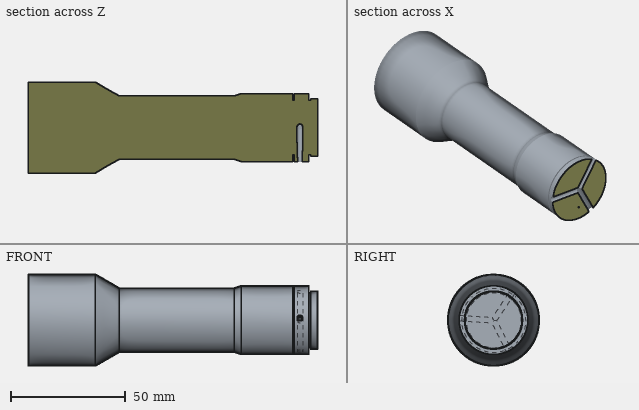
import cadquery as cq
import math

TOTAL_LENGTH = 126.6
HEAD_LENGTH = 29.4
COLLAR_START = 90.1
COLLAR_TAPER_LENGTH = 3.0
GROOVE_START = 115.6
GROOVE_WIDTH = 0.6
THREAD_LENGTH = 4.0
UNDERCUT_WIDTH = 0.8

HEAD_DIAMETER = 40.0
NECK_DIAMETER = 28.0
COLLAR_DIAMETER = 30.0
THREAD_DIAMETER = 25.4
CORE_DIAMETER = 24.0

CONE_ANGLE = 30.0
EDGE_CHAMFER = 0.25

SCREW_COUNT = 3
SCREW_DIAMETER = 2.4
SCREW_SHOULDER_DISTANCE = 3.9
SCREW_FIRST_ANGLE = 56.5

HEAD_RADIUS = HEAD_DIAMETER / 2
NECK_RADIUS = NECK_DIAMETER / 2
COLLAR_RADIUS = COLLAR_DIAMETER / 2
THREAD_RADIUS = THREAD_DIAMETER / 2
CORE_RADIUS = CORE_DIAMETER / 2
CONE_LENGTH = (HEAD_RADIUS - NECK_RADIUS) / math.tan(math.radians(CONE_ANGLE))
GROOVE_END = GROOVE_START + GROOVE_WIDTH
SHOULDER_X = TOTAL_LENGTH - THREAD_LENGTH
SCREW_X = SHOULDER_X - SCREW_SHOULDER_DISTANCE


def make_barrel():
    """Revolve the stepped head, neck, grooved collar and mount thread about X."""
    undercut_end = SHOULDER_X + UNDERCUT_WIDTH
    profile = (
        cq.Workplane("XZ")
        .lineTo(0, HEAD_RADIUS - EDGE_CHAMFER)
        .lineTo(EDGE_CHAMFER, HEAD_RADIUS)
        .lineTo(HEAD_LENGTH, HEAD_RADIUS)
        .lineTo(HEAD_LENGTH + CONE_LENGTH, NECK_RADIUS)
        .lineTo(COLLAR_START, NECK_RADIUS)
        .lineTo(COLLAR_START + COLLAR_TAPER_LENGTH, COLLAR_RADIUS)
        .lineTo(GROOVE_START, COLLAR_RADIUS)
        .lineTo(GROOVE_START, CORE_RADIUS)
        .lineTo(GROOVE_END, CORE_RADIUS)
        .lineTo(GROOVE_END, COLLAR_RADIUS)
        .lineTo(SHOULDER_X, COLLAR_RADIUS)
        .lineTo(SHOULDER_X, CORE_RADIUS)
        .lineTo(undercut_end, CORE_RADIUS)
        .lineTo(undercut_end, THREAD_RADIUS)
        .lineTo(TOTAL_LENGTH - EDGE_CHAMFER, THREAD_RADIUS)
        .lineTo(TOTAL_LENGTH, THREAD_RADIUS - EDGE_CHAMFER)
        .lineTo(TOTAL_LENGTH, 0)
        .close()
    )
    return profile.revolve(360, (0, 0, 0), (1, 0, 0))


def cut_screw_holes(body):
    """Drill evenly spaced radial set-screw holes that meet at the X axis."""
    for index in range(SCREW_COUNT):
        angle = SCREW_FIRST_ANGLE + index * 360 / SCREW_COUNT
        drill = (
            cq.Workplane("XZ", origin=(SCREW_X, 0, 0))
            .circle(SCREW_DIAMETER / 2)
            .extrude(-HEAD_RADIUS)
            .rotate((0, 0, 0), (1, 0, 0), angle)
        )
        body = body.cut(drill)
    return body


result = cut_screw_holes(make_barrel())